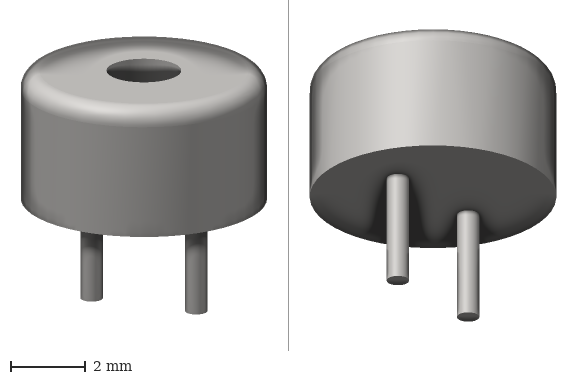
import cadquery as cq

overall_height = 6.6
body_diameter = 6.6
pin_length = 3.0
body_height = overall_height - pin_length
top_edge_radius = 0.5

sound_hole_diameter = 2.0
sound_hole_depth = 1.0

pin_diameter = 0.6
pin_spacing = 3.0


def make_body():
    """Can standing on Z = 0, with its upper rim rounded."""
    can = cq.Workplane("XY").circle(body_diameter / 2).extrude(body_height)
    return can.faces(">Z").edges().fillet(top_edge_radius)


def make_sound_hole():
    """Blind round hole sunk from the top face."""
    floor = cq.Workplane("XY").workplane(offset=body_height - sound_hole_depth)
    return floor.circle(sound_hole_diameter / 2).extrude(sound_hole_depth)


def make_pins():
    """Two round pins hanging below the can, side by side along X."""
    places = [(-pin_spacing / 2, 0), (pin_spacing / 2, 0)]
    return cq.Workplane("XY").pushPoints(places).circle(pin_diameter / 2).extrude(-pin_length)


result = make_body().cut(make_sound_hole()).union(make_pins())